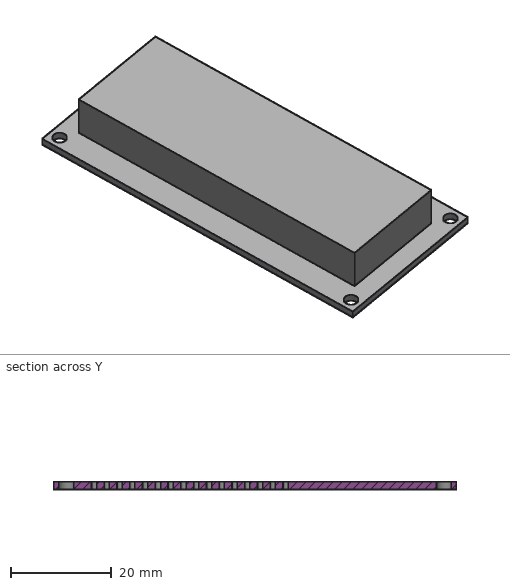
import cadquery as cq

board_length = 80.0
board_width = 36.0
board_thickness = 1.6

total_height = 10.6
display_length = 71.0
display_width = 24.0
display_height = total_height - board_thickness

mount_diameter = 2.9
mount_inset = 2.5
mount_x = board_length / 2 - mount_inset
mount_y = board_width / 2 - mount_inset

pin_diameter = 1.0
pin_count = 16
pin_row_length = 38.1
pin_pitch = pin_row_length / (pin_count - 1)
first_pin_inset = 8.0
first_pin_x = first_pin_inset - board_length / 2

mount_points = [(x, y) for x in (-mount_x, mount_x) for y in (-mount_y, mount_y)]
pin_points = [(first_pin_x + i * pin_pitch, mount_y) for i in range(pin_count)]


def make_board():
    """Flat board with its underside at Z = 0 and all holes cut through."""
    board = cq.Workplane("XY").rect(board_length, board_width).extrude(board_thickness)
    for points, diameter in ((mount_points, mount_diameter), (pin_points, pin_diameter)):
        holes = cq.Workplane("XY").pushPoints(points).circle(diameter / 2).extrude(board_thickness)
        board = board.cut(holes)
    return board


def make_display():
    """Rectangular block standing on the top face of the board."""
    base = cq.Workplane("XY").workplane(offset=board_thickness)
    return base.rect(display_length, display_width).extrude(display_height)


result = make_board().union(make_display())